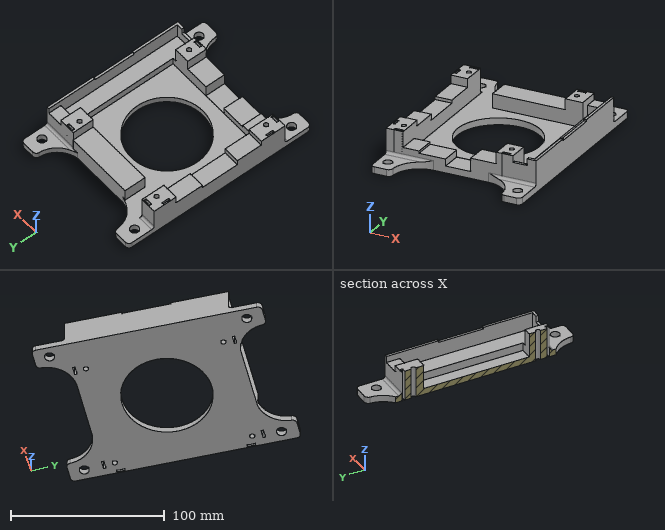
import cadquery as cq

LENGTH_X = 110.0
LENGTH_Y = 154.0
HEIGHT = 23.02
FRAME_Y = 110.0
FRAME_Y_CENTER = 0.2
PLATE_T = 5.0

LEFT = -LENGTH_X / 2
RIGHT = LENGTH_X / 2
FRONT = FRAME_Y_CENTER - FRAME_Y / 2
BACK = FRAME_Y_CENTER + FRAME_Y / 2

OPENING_D = 60.0
OPENING_X = -1.05
NOTCH_R = 20.0
NOTCH_W = 80.0
FOOT_CORNER_R = 3.0
FOOT_HOLE_D = 6.4
FOOT_HOLE_X = 47.5
FOOT_HOLE_Y = 66.0
FOOT_HOLE_Y_CENTER = -0.45
ROOT_R = 2.0

LEFT_WALL_T = 12.5
FRONT_WALL_T = 15.7
BACK_WALL_T = 16.6
RIGHT_WALL_T = 2.0
LEFT_WALL_INNER = LEFT + LEFT_WALL_T
FRONT_WALL_INNER = FRONT + FRONT_WALL_T
BACK_WALL_INNER = BACK - BACK_WALL_T
RIGHT_WALL_INNER = RIGHT - RIGHT_WALL_T

LEFT_WALL_STEPS = [(-34.8, HEIGHT), (-14.7, 19.0), (14.6, 14.7), (36.8, 16.9), (BACK, HEIGHT)]

FRONT_BLOCK_END = 38.0
FRONT_WALL_STEPS = [(-30.7, 11.7), (-11.3, 10.1), (7.0, 5.1), (25.7, 14.7), (FRONT_BLOCK_END, HEIGHT)]

BACK_WALL_START = -25.4
BACK_BLOCK_END = 40.8
BACK_BAR_TOP = 15.2
BACK_BAR_OVERHANG = 0.25
BACK_BAR_END = 27.9

LEDGE_TOP = 10.9
NOTCH_FLOOR = 18.3
LIP_T = 2.1
LIP_NOTCH_END = 48.4
CHANNEL_BLOCK_Y = 10.0
RIGHT_DIP_LENGTH = 32.8
RIGHT_DIP_DEPTH = 1.2

SCREW_D = 3.3
SCREW_XS = (-46.5, 32.5)
SCREW_Y = 46.0
SLOT_LENGTH = 5.6
SLOT_W = 1.6
SLOT_Y = 53.4
SIDE_SLOT_LENGTH = 5.6
SIDE_SLOT_W = 1.2
SIDE_SLOT_X = -53.4
SIDE_SLOT_Y = 43.7


def block(x0, x1, y0, y1, top, bottom=0.0):
    """Box between the given limits; it starts at the underside of the part unless bottom is set."""
    corner = (x0, y0, bottom)
    return cq.Workplane("XY").box(x1 - x0, y1 - y0, top - bottom, centered=False).translate(corner)


def make_footprint(height):
    """Plate outline with a rounded notch between each pair of feet, extruded to height."""
    plate = cq.Workplane("XY").rect(LENGTH_X, LENGTH_Y).extrude(height)
    reach = LENGTH_Y - FRAME_Y
    for face_y, side in ((FRONT, -1), (BACK, 1)):
        notch = (
            cq.Workplane("XY")
            .center(0, face_y + side * reach / 2)
            .rect(NOTCH_W, reach)
            .extrude(height)
            .edges("|Z")
            .fillet(NOTCH_R)
        )
        plate = plate.cut(notch)
    return plate.edges("|Z and (>Y or <Y)").fillet(FOOT_CORNER_R)


def make_left_wall():
    wall = cq.Workplane("XY")
    start = FRONT
    for end, top in LEFT_WALL_STEPS:
        wall = wall.union(block(LEFT, LEFT_WALL_INNER, start, end, top))
        start = end
    return wall


def make_front_wall():
    wall = cq.Workplane("XY")
    start = LEFT_WALL_INNER
    for end, top in FRONT_WALL_STEPS:
        wall = wall.union(block(start, end, FRONT, FRONT_WALL_INNER, top))
        start = end
    return wall


def make_back_wall():
    bar = block(BACK_WALL_START, BACK_BAR_END, BACK_WALL_INNER, BACK + BACK_BAR_OVERHANG, BACK_BAR_TOP)
    return bar.union(block(BACK_BAR_END, BACK_BLOCK_END, BACK_WALL_INNER, BACK, HEIGHT))


def make_right_side():
    ledge = block(BACK_BLOCK_END, RIGHT, FRONT, BACK, LEDGE_TOP)
    ledge = ledge.union(block(FRONT_BLOCK_END, RIGHT, FRONT, FRONT_WALL_INNER, LEDGE_TOP))
    wall = block(RIGHT_WALL_INNER, RIGHT, FRONT, BACK, HEIGHT)
    dip_end = RIGHT_DIP_LENGTH / 2
    dip = block(RIGHT_WALL_INNER, RIGHT, -dip_end, dip_end, HEIGHT, HEIGHT - RIGHT_DIP_DEPTH)
    lip = block(FRONT_BLOCK_END, LIP_NOTCH_END, FRONT, FRONT + LIP_T, NOTCH_FLOOR)
    lip = lip.union(block(LIP_NOTCH_END, RIGHT, FRONT, FRONT + LIP_T, HEIGHT))
    closing = block(BACK_BLOCK_END, RIGHT, BACK - CHANNEL_BLOCK_Y, BACK, NOTCH_FLOOR)
    return ledge.union(wall.cut(dip)).union(lip).union(closing)


def make_root_fillet(x0, x1, side):
    """Concave fillet between the feet and the front (side -1) or back (side 1) face of the frame."""
    face_y = FRONT if side < 0 else BACK
    outer_y = face_y + side * ROOT_R
    strip = block(x0, x1, min(face_y, outer_y), max(face_y, outer_y), PLATE_T + ROOT_R, PLATE_T)
    round_cut = (
        cq.Workplane("YZ", origin=(x0, 0, 0))
        .center(outer_y, PLATE_T + ROOT_R)
        .circle(ROOT_R)
        .extrude(x1 - x0)
    )
    return strip.cut(round_cut)


def make_root_fillets():
    fillets = make_root_fillet(LEFT, RIGHT, -1)
    fillets = fillets.union(make_root_fillet(LEFT, LEFT_WALL_INNER, 1))
    fillets = fillets.union(make_root_fillet(BACK_WALL_START, RIGHT, 1))
    return fillets.intersect(make_footprint(HEIGHT))


def hole(x, y, diameter):
    return cq.Workplane("XY").center(x, y).circle(diameter / 2).extrude(HEIGHT)


def slot(x, y, size_x, size_y):
    return cq.Workplane("XY").center(x, y).rect(size_x, size_y).extrude(HEIGHT)


result = make_footprint(PLATE_T).union(make_root_fillets())
for wall in (make_left_wall(), make_front_wall(), make_back_wall(), make_right_side()):
    result = result.union(wall)

result = result.cut(hole(OPENING_X, FRAME_Y_CENTER, OPENING_D))
for side in (-1, 1):
    foot_hole_y = FOOT_HOLE_Y_CENTER + side * FOOT_HOLE_Y
    screw_y = FRAME_Y_CENTER + side * SCREW_Y
    slot_y = FRAME_Y_CENTER + side * SLOT_Y
    side_slot_y = FRAME_Y_CENTER + side * SIDE_SLOT_Y
    for x in (-FOOT_HOLE_X, FOOT_HOLE_X):
        result = result.cut(hole(x, foot_hole_y, FOOT_HOLE_D))
    for x in SCREW_XS:
        result = result.cut(hole(x, screw_y, SCREW_D))
        result = result.cut(slot(x, slot_y, SLOT_LENGTH, SLOT_W))
    result = result.cut(slot(SIDE_SLOT_X, side_slot_y, SIDE_SLOT_W, SIDE_SLOT_LENGTH))